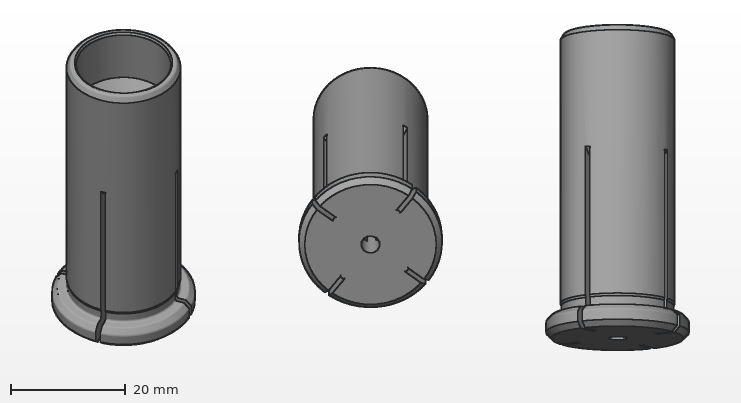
import cadquery as cq
import math

LENGTH = 54.0
BODY_RADIUS = 10.0

FLANGE_RADIUS = 12.5
FLANGE_HEIGHT = 3.95
FLANGE_BOTTOM_CHAMFER = 1.0
FLANGE_TOP_CHAMFER = 1.0
FLANGE_ROUND = 0.5

NECK_RADIUS = 9.85
NECK_TOP = 5.7
NECK_LEAD_TOP = 6.15
NECK_FILLET = 0.45

RIM_CHAMFER_HEIGHT = 1.1
RIM_CHAMFER_WIDTH = 0.65
RIM_ROUND = 0.55

BORE_RADIUS = 8.25
BORE_CHAMFER_WIDTH = 0.25
BORE_CHAMFER_HEIGHT = 0.45
BORE_BOTTOM = 44.1
SEAT_RADIUS = 4.995
HOLE_RADIUS = 1.595
UPPER_CONE_ANGLE = 45.0
LOWER_CONE_ANGLE = 60.0

SLOT_WIDTH = 0.85
SLOT_OVERRUN = 0.55
SLOT_TOP = 32.5
SLOT_END_SLOPE = 45.0
SLOT_FLOOR_SLOPE = 37.0
SLOT_FLOOR_RADIUS = 8.1
SLOT_COUNT = 4


def make_outside():
    """Revolved body with flange, relief groove and rounded bevels."""
    body = (
        cq.Workplane("XZ")
        .moveTo(0, 0)
        .lineTo(FLANGE_RADIUS - FLANGE_BOTTOM_CHAMFER, 0)
        .lineTo(FLANGE_RADIUS, FLANGE_BOTTOM_CHAMFER)
        .lineTo(FLANGE_RADIUS, FLANGE_HEIGHT - FLANGE_TOP_CHAMFER)
        .lineTo(FLANGE_RADIUS - FLANGE_TOP_CHAMFER, FLANGE_HEIGHT)
        .lineTo(NECK_RADIUS, FLANGE_HEIGHT)
        .lineTo(NECK_RADIUS, NECK_TOP)
        .lineTo(BODY_RADIUS, NECK_LEAD_TOP)
        .lineTo(BODY_RADIUS, LENGTH - RIM_CHAMFER_HEIGHT)
        .lineTo(BODY_RADIUS - RIM_CHAMFER_WIDTH, LENGTH)
        .lineTo(0, LENGTH)
        .close()
        .revolve(360, (0, 0, 0), (0, 1, 0))
    )

    def edge_at(radius, height):
        """Selector for the circular edge of the given radius and height."""
        tolerance = 0.005
        return cq.selectors.BoxSelector(
            (-radius - tolerance, -radius - tolerance, height - tolerance),
            (radius + tolerance, radius + tolerance, height + tolerance),
            boundingbox=True,
        )

    body = body.edges(edge_at(BODY_RADIUS - RIM_CHAMFER_WIDTH, LENGTH)).fillet(RIM_ROUND)
    body = body.edges(edge_at(NECK_RADIUS, FLANGE_HEIGHT)).fillet(NECK_FILLET)
    body = body.edges(edge_at(FLANGE_RADIUS - FLANGE_TOP_CHAMFER, FLANGE_HEIGHT)).fillet(FLANGE_ROUND)
    return body.edges(edge_at(FLANGE_RADIUS, FLANGE_HEIGHT - FLANGE_TOP_CHAMFER)).fillet(FLANGE_ROUND)


def make_bore():
    """Revolved cutter: chamfered bore, two cones and the through hole."""
    upper_drop = (BORE_RADIUS - SEAT_RADIUS) * math.tan(math.radians(UPPER_CONE_ANGLE))
    lower_drop = (SEAT_RADIUS - HOLE_RADIUS) * math.tan(math.radians(LOWER_CONE_ANGLE))
    seat_height = BORE_BOTTOM - upper_drop
    return (
        cq.Workplane("XZ")
        .moveTo(0, 0)
        .lineTo(HOLE_RADIUS, 0)
        .lineTo(HOLE_RADIUS, seat_height - lower_drop)
        .lineTo(SEAT_RADIUS, seat_height)
        .lineTo(BORE_RADIUS, BORE_BOTTOM)
        .lineTo(BORE_RADIUS, LENGTH - BORE_CHAMFER_HEIGHT)
        .lineTo(BORE_RADIUS + BORE_CHAMFER_WIDTH, LENGTH)
        .lineTo(0, LENGTH)
        .close()
        .revolve(360, (0, 0, 0), (0, 1, 0))
    )


def make_slot():
    """Cutter for one radial slot, running from the axis out past the flange on +X."""
    end_slope = math.tan(math.radians(SLOT_END_SLOPE))
    floor_slope = math.tan(math.radians(SLOT_FLOOR_SLOPE))
    reach = FLANGE_RADIUS + SLOT_OVERRUN
    floor_apex = SLOT_FLOOR_RADIUS * floor_slope
    return (
        cq.Workplane("XZ")
        .moveTo(0, floor_apex)
        .lineTo(reach, floor_apex - reach * floor_slope)
        .lineTo(reach, SLOT_TOP + (reach - BODY_RADIUS) * end_slope)
        .lineTo(0, SLOT_TOP - BODY_RADIUS * end_slope)
        .close()
        .extrude(SLOT_WIDTH / 2, both=True)
    )


result = make_outside().cut(make_bore())
for index in range(SLOT_COUNT):
    turn = index * 360 / SLOT_COUNT
    result = result.cut(make_slot().rotate((0, 0, 0), (0, 0, 1), turn))